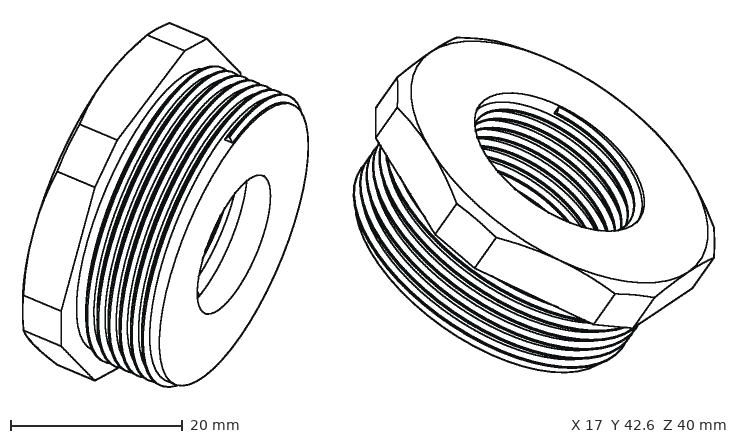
import cadquery as cq
import math

total_length = 17.0
head_length = 5.93
across_flats = 40.0
across_corners = 42.65
head_chamfer_angle = 30.0

barrel_diameter = 35.4
male_start = 6.6
male_turns = 6.5

bore_diameter = 22.85
bore_depth = 12.8
female_start = 0.7
female_turns = 7.5

pitch = 1.5
ridge_height = 0.75
ridge_root_width = 1.05
ridge_crest_width = 0.2
ridge_overlap = 0.15

passage_diameter = 17.4
taper_start_diameter = bore_diameter - 2 * ridge_height


def hexagon(flats, length, turn):
    """Hexagonal prism along X; a zero turn puts corners on the Y axis."""
    corner_diameter = flats / math.cos(math.pi / 6)
    prism = cq.Workplane("YZ").polygon(6, corner_diameter).extrude(length)
    return prism.rotate((0, 0, 0), (1, 0, 0), turn)


def revolved(points):
    """Solid of revolution about X from (x, radius) points."""
    return cq.Workplane("XY").polyline(points).close().revolve(360, (0, 0, 0), (1, 0, 0))


def thread_ridge(root_radius, outward, turns):
    """Right-hand helical ridge along X, starting at X = 0 on the -Z side."""
    path = cq.Wire.makeHelix(pitch, turns * pitch, root_radius)
    flank_slope = (ridge_root_width - ridge_crest_width) / 2 / ridge_height
    half_crest = ridge_crest_width / 2
    half_buried = ridge_root_width / 2 + ridge_overlap * flank_slope
    buried = root_radius - outward * ridge_overlap
    crest = root_radius + outward * ridge_height
    section = [
        (buried, -half_buried),
        (crest, -half_crest),
        (crest, half_crest),
        (buried, half_buried),
    ]
    ridge = cq.Workplane("XZ").polyline(section).close().sweep(cq.Workplane(path), isFrenet=True)
    return ridge.rotate((0, 0, 0), (0, 1, 0), 90)


face_radius = across_flats / 2
cone_radius = face_radius + head_length / math.tan(math.radians(head_chamfer_angle))
chamfer_cone = revolved([(0, 0), (0, face_radius), (head_length, cone_radius), (head_length, 0)])
head = hexagon(across_flats, head_length, 0)
head = head.intersect(hexagon(across_corners, head_length, 30))
head = head.intersect(chamfer_cone)

barrel = cq.Workplane("YZ").circle(barrel_diameter / 2).extrude(total_length)

cavity = revolved([
    (0, 0),
    (0, bore_diameter / 2),
    (bore_depth, bore_diameter / 2),
    (bore_depth, taper_start_diameter / 2),
    (total_length, passage_diameter / 2),
    (total_length, 0),
])

male_ridge = thread_ridge(barrel_diameter / 2, 1, male_turns).translate((male_start, 0, 0))
female_ridge = thread_ridge(bore_diameter / 2, -1, female_turns)
female_ridge = female_ridge.rotate((0, 0, 0), (1, 0, 0), 180).translate((female_start, 0, 0))

result = head.union(barrel).cut(cavity).union(male_ridge).union(female_ridge)